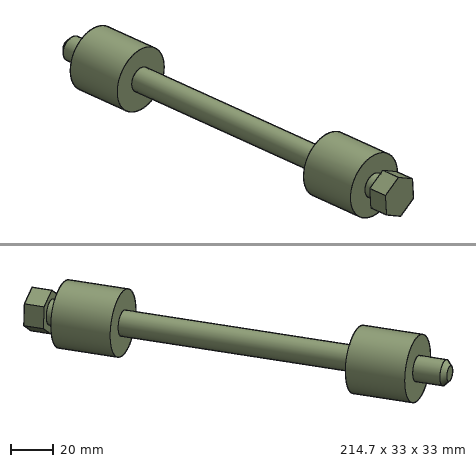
import cadquery as cq
import math

bolt_length = 214.67
shank_diameter = 12.7
tip_chamfer = 2.54
head_height = 10.16
head_across_flats = 19.05
head_across_corners = head_across_flats / math.cos(math.pi / 6)
head_turn = 4.0

roller_diameter = 33.02
roller_length = 30.48
first_roller_start = 16.5
roller_pitch = 151.13
roller_count = 2


def make_bolt():
    """Hex-head bolt with a chamfered tip."""
    shank_length = bolt_length - head_height
    shank = (
        cq.Workplane("YZ")
        .circle(shank_diameter / 2)
        .extrude(shank_length)
        .faces("<X")
        .chamfer(tip_chamfer)
    )
    head = (
        cq.Workplane("YZ")
        .polygon(6, head_across_corners)
        .extrude(head_height)
        .rotate((0, 0, 0), (1, 0, 0), 90 + head_turn)
        .translate((shank_length, 0, 0))
    )
    return shank.union(head)


def make_roller(start):
    """Plain sleeve whose bore fits the shank, beginning at X = start."""
    return (
        cq.Workplane("YZ", origin=(start, 0, 0))
        .circle(roller_diameter / 2)
        .circle(shank_diameter / 2)
        .extrude(roller_length)
    )


bolt = make_bolt()
rollers = [make_roller(first_roller_start + i * roller_pitch) for i in range(roller_count)]

result = cq.Compound.makeCompound([bolt.val(), *[roller.val() for roller in rollers]])